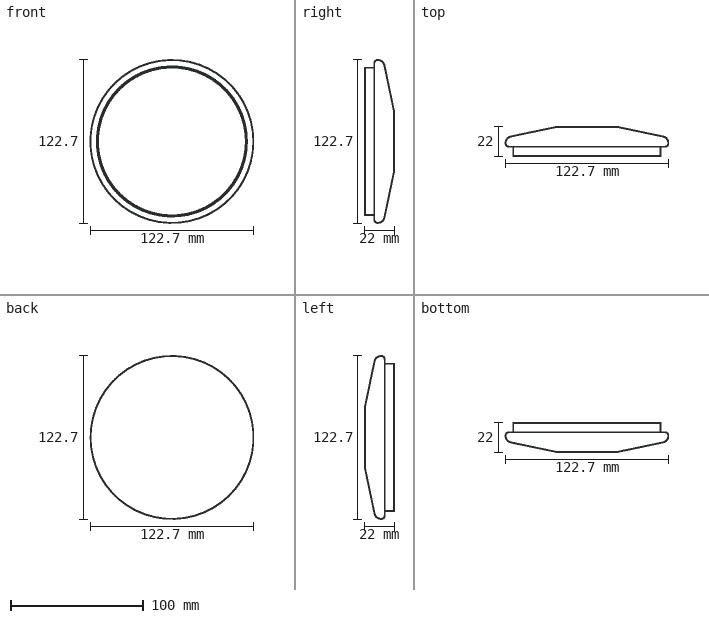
import cadquery as cq
import math

outer_diameter = 122.71
total_depth = 22.0

plug_radius = 55.5
plug_length = 7.0

rim_outer_round = 2.65
rim_inner_round = 2.15
shoulder_radius = 5.3
flank_angle = math.radians(11.8)

shell_thickness = rim_outer_round + rim_inner_round
outer_radius = outer_diameter / 2
rim_inner_radius = outer_radius - shell_thickness
rim_bottom_radius = outer_radius - rim_outer_round
inner_shoulder_radius = shoulder_radius - shell_thickness

plug_face_y = -total_depth / 2
crown_y = total_depth / 2
rim_bottom_y = plug_face_y + plug_length
rim_outer_top_y = rim_bottom_y + rim_outer_round
rim_inner_top_y = rim_bottom_y + rim_inner_round

shoulder_center = (outer_radius - shoulder_radius, rim_outer_top_y)


def shoulder_point(arc_radius, angle_from_axis):
    """Point on an arc about the shoulder center, its angle measured from +Y outwards."""
    return (
        shoulder_center[0] + arc_radius * math.sin(angle_from_axis),
        shoulder_center[1] + arc_radius * math.cos(angle_from_axis),
    )


def flank_y(start, radius):
    """Y of a flank line through start, at the given distance from the axis."""
    return start[1] + (start[0] - radius) * math.tan(flank_angle)


def half_profile():
    """Half section in the XY plane, where X is the distance from the axis."""
    shoulder_middle_angle = (flank_angle + math.pi / 2) / 2
    inner_flank_start = shoulder_point(inner_shoulder_radius, flank_angle)
    inner_shoulder_middle = shoulder_point(inner_shoulder_radius, shoulder_middle_angle)
    outer_flank_start = shoulder_point(shoulder_radius, flank_angle)
    outer_shoulder_middle = shoulder_point(shoulder_radius, shoulder_middle_angle)

    groove_end_y = flank_y(inner_flank_start, plug_radius)
    flank_rise = crown_y - outer_flank_start[1]
    crown_radius = outer_flank_start[0] - flank_rise / math.tan(flank_angle)
    rim_bottom = (rim_bottom_radius, rim_bottom_y)

    return (
        cq.Workplane("XY")
        .moveTo(0, plug_face_y)
        .lineTo(plug_radius, plug_face_y)
        .lineTo(plug_radius, groove_end_y)
        .lineTo(*inner_flank_start)
        .threePointArc(inner_shoulder_middle, (rim_inner_radius, rim_outer_top_y))
        .lineTo(rim_inner_radius, rim_inner_top_y)
        .radiusArc(rim_bottom, -rim_inner_round)
        .radiusArc((outer_radius, rim_outer_top_y), -rim_outer_round)
        .threePointArc(outer_shoulder_middle, outer_flank_start)
        .lineTo(crown_radius, crown_y)
        .lineTo(0, crown_y)
        .close()
    )


axis_start = (0, 0, 0)
axis_end = (0, 1, 0)
result = half_profile().revolve(360, axis_start, axis_end)